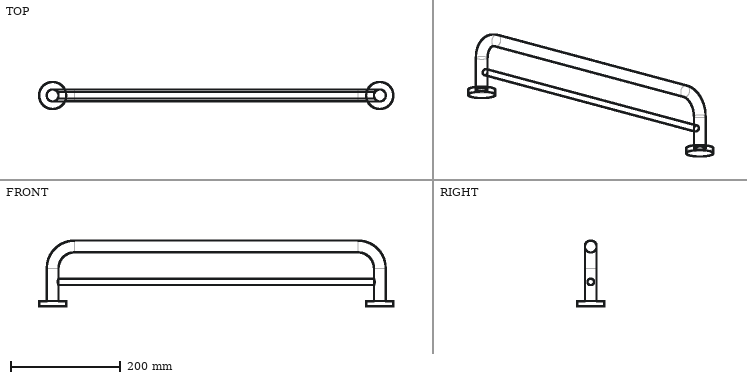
import cadquery as cq

post_spacing = 600.0
flange_diameter = 50.0
flange_thickness = 10.0
flange_edge_radius = 0.5
rail_diameter = 22.0
rail_axis_height = 110.0
bend_radius = 40.0
crossbar_diameter = 12.0
crossbar_height = 45.0

post_x = post_spacing / 2
bend_start_z = rail_axis_height - bend_radius
bend_end_x = post_x - bend_radius


def make_flange(x):
    """Round mounting flange centred under the post at x, its upper rim slightly rounded."""
    disc = cq.Workplane("XY").center(x, 0).circle(flange_diameter / 2).extrude(flange_thickness)
    return disc.faces(">Z").edges().fillet(flange_edge_radius)


def make_rail():
    """Round rail with two posts, two bends and a straight top run, standing on the flanges."""
    path = (
        cq.Workplane("XZ")
        .moveTo(-post_x, flange_thickness)
        .lineTo(-post_x, bend_start_z)
        .radiusArc((-bend_end_x, rail_axis_height), bend_radius)
        .lineTo(bend_end_x, rail_axis_height)
        .radiusArc((post_x, bend_start_z), bend_radius)
        .lineTo(post_x, flange_thickness)
    )
    section = cq.Workplane("XY", origin=(-post_x, 0, flange_thickness)).circle(rail_diameter / 2)
    return section.sweep(path)


def make_crossbar(rail):
    """Thin round bar between the posts, its ends coped to fit against them."""
    bar = (
        cq.Workplane("YZ", origin=(-post_x, 0, crossbar_height))
        .circle(crossbar_diameter / 2)
        .extrude(post_spacing)
    )
    return bar.cut(rail)


flanges = [make_flange(side * post_x) for side in (-1, 1)]
rail = make_rail()
crossbar = make_crossbar(rail)

result = cq.Compound.makeCompound(
    [*(flange.val() for flange in flanges), rail.val(), *crossbar.solids().vals()]
)